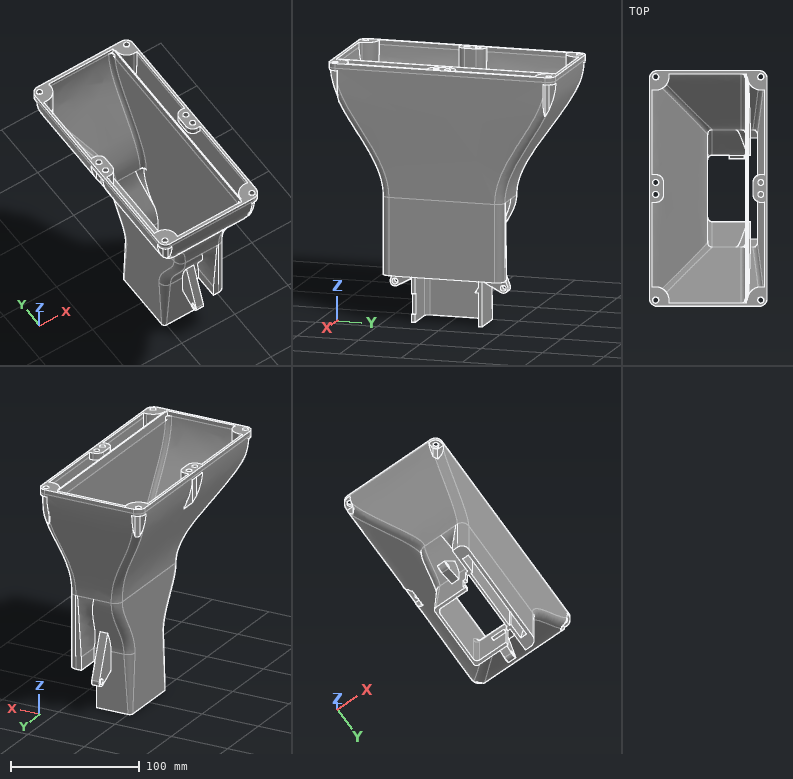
import cadquery as cq
import math

LENGTH_X = 92.0
WIDTH_Y = 184.0
HEIGHT = 207.0

FLANGE_Z = 203.3
THROAT_Z = 101.8
NECK_Z = 50.5
SLOT_DUCT_Z = 39.1

HALF_TOP = WIDTH_Y / 2
HALF_THROAT = 49.5
HALF_OUTLET = 28.8
MAIN_LEFT = 43.3
MAIN_RIGHT = 74.1
SLOT_DUCT_RIGHT = 87.4
SLOT_DUCT_LEFT = 76.2
WEB_LEFT = 65.2
WEB_RIGHT = 79.5
WEB_SECTIONS = 5
CORNER_R = 6.5
OUTLET_CORNER_R = 2.7
S_HANDLE = 0.35

RIM_WALL_X = 2.0
RIM_WALL_Y = 2.7
SIDE_WALL = 2.3
HALF_THROAT_IN = 45.7
HALF_OUTLET_IN = 25.9
SLOT_LEFT = 78.9
SLOT_RIGHT = 84.3
SLOT_HALF_WIDTH = 39.3
CAVITY_CORNER_R = 3.5

DIVIDER_LEFT = 75.1
DIVIDER_RIGHT = 77.5
DIVIDER_TIP_LEFT = 75.8
DIVIDER_TIP_THICKNESS = 0.8
DIVIDER_TAPER_HEIGHT = 7.0

HOLE_D = 4.5
HOLE_INSET = 5.0
HOLE_PITCH = 9.3
CORNER_BOSS_R = 10.4
MIDDLE_BOSS_R = 6.2
BOSS_BOTTOM_Z = 161.5
RECESS_DEPTH = 8.3
RECESS_TOP_Z = 201.2
MIDDLE_RECESS_WIDTH = 16.5
CORNER_RECESS_CHAMFER = 2.7
MIDDLE_RECESS_CHAMFER_X = 3.0
MIDDLE_RECESS_CHAMFER_Y = 1.5

LUG_LEFT = 61.0
LUG_THICKNESS = 6.8
LUG_HOLE_Y = 44.0
LUG_HOLE_Z = 30.6
LUG_R = 4.0
LUG_UPPER_ANGLE = 20.5
LUG_LOWER_ANGLE = 28.0
LUG_ROOT_Y = 27.0

NOTCH_DEPTH = 2.3
NOTCH_Z = 6.5
NOTCH_HEIGHT = 16.4
RAMP_LEFT = 62.3
RAMP_DEPTH = 3.0
RAMP_Z = 27.1
RAMP_HEIGHT = 4.3


def box(x0, x1, y0, y1, z0, z1):
    return cq.Workplane("XY").box(x1 - x0, y1 - y0, z1 - z0, centered=False).translate((x0, y0, z0))


def join(base, *parts):
    return cq.Workplane(base.val().fuse(*[part.val() for part in parts]))


def carve(base, *parts):
    return cq.Workplane(base.val().cut(*[part.val() for part in parts]))


def with_mirror(part):
    """The part and its twin on the -Y side."""
    return part, part.mirror("XZ")


def s_curve(start, end):
    """Bezier control points of an S that leaves and arrives vertically."""
    (start_side, start_z), (end_side, end_z) = start, end
    handle = S_HANDLE * (end_z - start_z)
    return [start, (start_side, start_z + handle), (end_side, end_z - handle), end]


def s_point(start, end, t):
    """Point of that S at the curve parameter t."""
    weights = ((1 - t) ** 3, 3 * t * (1 - t) ** 2, 3 * t**2 * (1 - t), t**3)
    points = s_curve(start, end)
    return tuple(sum(w * p[axis] for w, p in zip(weights, points)) for axis in (0, 1))


def s_block(plane, left_low, left_high, right_low, right_high, z_low, z_high):
    """Closed profile with an S on both sides, in a plane whose second axis is Z."""
    return (
        cq.Workplane(plane)
        .moveTo(left_low, z_low)
        .lineTo(right_low, z_low)
        .bezier(s_curve((right_low, z_low), (right_high, z_high)))
        .lineTo(left_high, z_high)
        .bezier(s_curve((left_high, z_high), (left_low, z_low)))
        .close()
    )


def across_y(profile, half_width=WIDTH_Y / 2):
    """Extrudes an XZ profile over -half_width..half_width."""
    return profile.extrude(2 * half_width).translate((0, half_width, 0))


def along_x(profile, x0, x1):
    return profile.extrude(x1 - x0).translate((x0, 0, 0))


def flared_block(left_low, left_high, right_low, right_high, half_low, half_high, z_low, z_high):
    """Block whose four sides each follow an S between two rectangles."""
    side = across_y(s_block("XZ", left_low, left_high, right_low, right_high, z_low, z_high))
    face = along_x(s_block("YZ", -half_low, -half_high, half_low, half_high, z_low, z_high), 0, LENGTH_X)
    return side.intersect(face)


def round_corners(block, radius, side=""):
    """Rounds the rising corner edges, on one X side if `side` is given."""
    rising = block.faces(side + "X") if side else block
    return rising.edges("not(#Z)").fillet(radius)


def outlet_block(left, right, half_width, top_radius, bottom_radius):
    """Straight duct below the neck whose left corners sharpen towards the outlet."""

    def outline(workplane, r):
        return (
            workplane.moveTo(right, -half_width)
            .lineTo(left + r, -half_width)
            .radiusArc((left, -half_width + r), r)
            .lineTo(left, half_width - r)
            .radiusArc((left + r, half_width), r)
            .lineTo(right, half_width)
            .close()
        )

    bottom = outline(cq.Workplane("XY"), bottom_radius)
    return outline(bottom.workplane(offset=NECK_Z), top_radius).loft(ruled=True)


def neck_block(left, right, half_throat, half_outlet, radius):
    """Main duct between throat and neck, narrowing in Y only."""
    profile = s_block("YZ", -half_outlet, -half_throat, half_outlet, half_throat, NECK_Z, THROAT_Z)
    return round_corners(along_x(profile, left, right), radius, "<")


def web_block(inset, half_throat, half_outlet):
    """Web beside the neck on the +Y side, twisting to face -X at the neck."""
    right = SLOT_LEFT + SIDE_WALL
    neck_left = SLOT_DUCT_LEFT + inset
    wires = []
    for section in range(WEB_SECTIONS):
        t = section / (WEB_SECTIONS - 1)
        inner_y, z = s_point((half_outlet, NECK_Z), (half_throat, THROAT_Z), t)
        rise = (z - NECK_Z) / (THROAT_Z - NECK_Z)
        inner_x = neck_left + rise * (WEB_LEFT - SLOT_DUCT_LEFT)
        outer_x = neck_left + rise * (WEB_RIGHT - SLOT_DUCT_LEFT)
        corners = [(right, 0), (right, half_throat), (outer_x, half_throat), (inner_x, inner_y)]
        wires.append(cq.Wire.makePolygon([cq.Vector(x, y, z) for x, y in corners], close=True))
    return cq.Workplane(cq.Solid.makeLoft(wires))


def lug():
    """Hinge lug on the +Y side."""
    upper = math.radians(LUG_UPPER_ANGLE)
    lower = math.radians(LUG_LOWER_ANGLE)
    upper_y = LUG_HOLE_Y + LUG_R * math.cos(upper)
    upper_z = LUG_HOLE_Z + LUG_R * math.sin(upper)
    lower_y = LUG_HOLE_Y - LUG_R * math.sin(lower)
    lower_z = LUG_HOLE_Z - LUG_R * math.cos(lower)
    middle = (upper - math.pi / 2 - lower) / 2
    tip = (LUG_HOLE_Y + LUG_R * math.cos(middle), LUG_HOLE_Z + LUG_R * math.sin(middle))
    profile = (
        cq.Workplane("YZ")
        .moveTo(LUG_ROOT_Y, lower_z + (lower_y - LUG_ROOT_Y) * math.tan(lower))
        .lineTo(lower_y, lower_z)
        .threePointArc(tip, (upper_y, upper_z))
        .lineTo(LUG_ROOT_Y, upper_z + (upper_y - LUG_ROOT_Y) / math.tan(upper))
        .close()
    )
    hole = cq.Workplane("YZ").center(LUG_HOLE_Y, LUG_HOLE_Z).circle(HOLE_D / 2)
    right = LUG_LEFT + LUG_THICKNESS
    return along_x(profile, LUG_LEFT, right).cut(along_x(hole, LUG_LEFT, right))


flange = box(0, LENGTH_X, -HALF_TOP, HALF_TOP, FLANGE_Z, HEIGHT).edges("|Z").fillet(CORNER_R)
hopper = round_corners(
    flared_block(
        MAIN_LEFT, 0, SLOT_DUCT_RIGHT, LENGTH_X, HALF_THROAT, HALF_TOP, THROAT_Z, FLANGE_Z
    ),
    CORNER_R,
)
slot_duct = box(WEB_RIGHT, SLOT_DUCT_RIGHT, -HALF_THROAT, HALF_THROAT, SLOT_DUCT_Z, THROAT_Z)
slot_duct = slot_duct.edges("|Z and >X").fillet(CORNER_R)
slot_duct_end = box(SLOT_DUCT_LEFT, WEB_RIGHT, -HALF_THROAT, HALF_THROAT, SLOT_DUCT_Z, NECK_Z)
web = web_block(0, HALF_THROAT, HALF_OUTLET)
neck = neck_block(MAIN_LEFT, WEB_RIGHT, HALF_THROAT, HALF_OUTLET, CORNER_R)
outlet = outlet_block(MAIN_LEFT, MAIN_RIGHT, HALF_OUTLET, CORNER_R, OUTLET_CORNER_R)
outlet_top = box(MAIN_RIGHT, DIVIDER_RIGHT, -HALF_OUTLET, HALF_OUTLET, SLOT_DUCT_Z, NECK_Z)
envelope = join(flange, hopper)
shell = join(
    envelope,
    slot_duct,
    slot_duct_end,
    neck,
    outlet,
    outlet_top,
    *with_mirror(web),
    *with_mirror(lug()),
)

rim_half = HALF_TOP - RIM_WALL_Y
rim_right = LENGTH_X - RIM_WALL_X
rim = box(RIM_WALL_X, rim_right, -rim_half, rim_half, FLANGE_Z, HEIGHT)

main_left = MAIN_LEFT + SIDE_WALL
main_hopper = round_corners(
    flared_block(
        main_left, RIM_WALL_X, DIVIDER_LEFT, DIVIDER_LEFT, HALF_THROAT_IN, rim_half, THROAT_Z, FLANGE_Z
    ),
    CAVITY_CORNER_R,
)
main_neck = neck_block(main_left, DIVIDER_LEFT, HALF_THROAT_IN, HALF_OUTLET_IN, CAVITY_CORNER_R)
main_outlet = outlet_block(main_left, DIVIDER_LEFT, HALF_OUTLET_IN, CAVITY_CORNER_R, CAVITY_CORNER_R)
main_web = web_block(SIDE_WALL, HALF_THROAT_IN, HALF_OUTLET_IN)
main_web = main_web.intersect(box(0, DIVIDER_LEFT, -HALF_TOP, HALF_TOP, 0, HEIGHT))

slot_hopper = round_corners(
    flared_block(
        SLOT_LEFT, DIVIDER_RIGHT, SLOT_RIGHT, rim_right, HALF_THROAT_IN, rim_half, THROAT_Z, FLANGE_Z
    ),
    CAVITY_CORNER_R,
    ">",
)
slot_profile = (
    cq.Workplane("YZ")
    .polyline([
        (-SLOT_HALF_WIDTH, SLOT_DUCT_Z),
        (SLOT_HALF_WIDTH, SLOT_DUCT_Z),
        (HALF_THROAT_IN, THROAT_Z),
        (-HALF_THROAT_IN, THROAT_Z),
    ])
    .close()
)
slot = along_x(slot_profile, SLOT_LEFT, SLOT_RIGHT)
slot_middle = box(DIVIDER_RIGHT, SLOT_LEFT, -HALF_OUTLET_IN, HALF_OUTLET_IN, SLOT_DUCT_Z, FLANGE_Z)

shell = carve(
    shell,
    rim,
    main_hopper,
    main_neck,
    main_outlet,
    *with_mirror(main_web),
    slot_hopper,
    slot,
    slot_middle,
)

divider_top = box(DIVIDER_LEFT, DIVIDER_RIGHT, -rim_half, rim_half, FLANGE_Z, HEIGHT)
shell = join(shell, divider_top)
tip_right = DIVIDER_TIP_LEFT + DIVIDER_TIP_THICKNESS
taper_z = HEIGHT - DIVIDER_TAPER_HEIGHT
for face_x, tip_x in ((DIVIDER_LEFT, DIVIDER_TIP_LEFT), (DIVIDER_RIGHT, tip_right)):
    shaving = cq.Workplane("XZ").polyline([(face_x, taper_z), (face_x, HEIGHT), (tip_x, HEIGHT)]).close()
    shell = carve(shell, across_y(shaving, rim_half))


def disc(x, y, radius, z_low):
    return cq.Workplane("XY", origin=(x, y, z_low)).circle(radius).extrude(HEIGHT - z_low)


def corner_boss(x, y):
    """Quarter-round boss filling the corner of the rim."""
    out_x = math.copysign(CORNER_BOSS_R, x - LENGTH_X / 2)
    out_y = math.copysign(CORNER_BOSS_R, y)
    boss = disc(x, y, CORNER_BOSS_R, BOSS_BOTTOM_Z)
    for dx, dy in ((out_x, -out_y), (out_x, out_y), (-out_x, out_y)):
        x0, x1 = sorted((x, x + dx))
        y0, y1 = sorted((y, y + dy))
        boss = boss.union(box(x0, x1, y0, y1, BOSS_BOTTOM_Z, HEIGHT))
    return boss


def middle_boss(x, z_low):
    """Boss around two holes, joined to the long side."""
    out_x = x + math.copysign(HOLE_INSET, x - LENGTH_X / 2)
    in_x = x - math.copysign(MIDDLE_BOSS_R, x - LENGTH_X / 2)
    half = HOLE_PITCH / 2
    boss = disc(x, -half, MIDDLE_BOSS_R, z_low).union(disc(x, half, MIDDLE_BOSS_R, z_low))
    boss = boss.union(box(min(in_x, x), max(in_x, x), -half, half, z_low, HEIGHT))
    reach = half + MIDDLE_BOSS_R
    return boss.union(box(min(x, out_x), max(x, out_x), -reach, reach, z_low, HEIGHT))


left_hole_x = HOLE_INSET
right_hole_x = LENGTH_X - HOLE_INSET
hole_y = HALF_TOP - HOLE_INSET
corner_holes = [(x, y) for x in (left_hole_x, right_hole_x) for y in (-hole_y, hole_y)]
middle_holes = [(x, y) for x in (left_hole_x, right_hole_x) for y in (-HOLE_PITCH / 2, HOLE_PITCH / 2)]
bosses = join(
    middle_boss(left_hole_x, BOSS_BOTTOM_Z),
    middle_boss(right_hole_x, RECESS_TOP_Z),
    *[corner_boss(x, y) for x, y in corner_holes],
)
shell = join(shell, bosses.intersect(envelope))

corner_recess = box(
    -RECESS_DEPTH,
    RECESS_DEPTH,
    HALF_TOP - RECESS_DEPTH,
    HALF_TOP + RECESS_DEPTH,
    BOSS_BOTTOM_Z,
    RECESS_TOP_Z,
)
corner_recess = corner_recess.edges("|Z and >X and <Y").chamfer(CORNER_RECESS_CHAMFER)
right_corner_recess = corner_recess.mirror("YZ", (LENGTH_X / 2, 0, 0))
half_recess = MIDDLE_RECESS_WIDTH / 2
half_floor = half_recess - MIDDLE_RECESS_CHAMFER_Y
middle_recess = (
    cq.Workplane("XY", origin=(0, 0, BOSS_BOTTOM_Z))
    .polyline([
        (-RECESS_DEPTH, -half_recess),
        (RECESS_DEPTH - MIDDLE_RECESS_CHAMFER_X, -half_recess),
        (RECESS_DEPTH, -half_floor),
        (RECESS_DEPTH, half_floor),
        (RECESS_DEPTH - MIDDLE_RECESS_CHAMFER_X, half_recess),
        (-RECESS_DEPTH, half_recess),
    ])
    .close()
    .extrude(RECESS_TOP_Z - BOSS_BOTTOM_Z)
)
shell = carve(shell, middle_recess, *with_mirror(corner_recess), *with_mirror(right_corner_recess))

screw_holes = [disc(x, y, HOLE_D / 2, RECESS_TOP_Z) for x, y in corner_holes + middle_holes]
shell = carve(shell, *screw_holes)

notch = box(
    MAIN_RIGHT - NOTCH_DEPTH,
    MAIN_RIGHT,
    -HALF_OUTLET,
    -HALF_OUTLET_IN,
    NOTCH_Z,
    NOTCH_Z + NOTCH_HEIGHT,
)
ramp = along_x(
    cq.Workplane("YZ")
    .polyline([
        (HALF_OUTLET_IN, RAMP_Z + RAMP_HEIGHT),
        (HALF_OUTLET_IN, RAMP_Z),
        (HALF_OUTLET_IN - RAMP_DEPTH, RAMP_Z),
    ])
    .close(),
    RAMP_LEFT,
    MAIN_RIGHT,
)
result = join(carve(shell, notch), ramp).clean().solids()